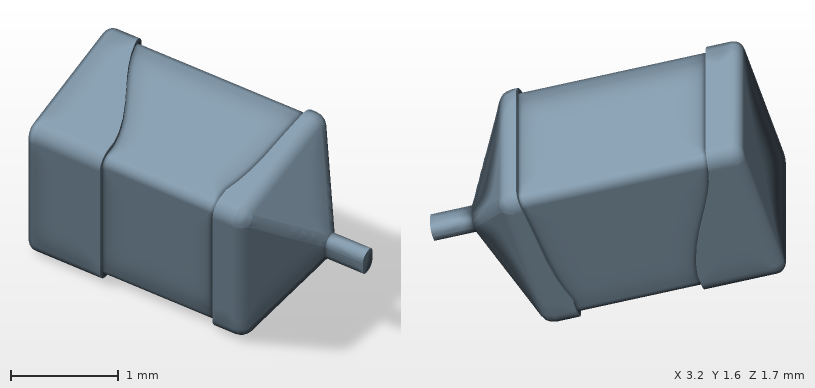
import cadquery as cq
import math

length = 3.2
width = 1.6
height = 1.7

cap_length = 0.8
nose_collar_start = 2.0
nose_end = 2.8

outer_radius = 0.15
end_radius = 0.1
core_step = 0.05
core_radius = outer_radius - core_step

stub_width = 0.175
taper_run = (width - stub_width) / 2
taper_angle = 54.8
nose_start = nose_end - taper_run / math.tan(math.radians(taper_angle))
stub_height = height - 2 * taper_run

cap_wave = [(0.34, width / 2), (0.42, 0.43), (0.55, 0.14), (0.685, -0.138), (cap_length, -0.538)]
nose_wave = [(2.165, width / 2), (2.12, 0.26), (2.085, -0.15), (nose_collar_start, -0.547)]


def rounded_bar(start, end, bar_width, bar_height, radius):
    """Bar along X with its four long edges rounded."""
    return (
        cq.Workplane("YZ", origin=(start, 0, 0))
        .rect(bar_width, bar_height)
        .extrude(end - start)
        .edges("|X")
        .fillet(radius)
    )


def region_before(wave):
    """Block from the cap end up to a wavy joint, running through the full height."""
    joint_x = wave[-1][0]
    return (
        cq.Workplane("XY", origin=(0, 0, -height / 2))
        .moveTo(0, width / 2)
        .lineTo(*wave[0])
        .spline(wave[1:], includeCurrent=True)
        .lineTo(joint_x, -width / 2)
        .lineTo(0, -width / 2)
        .close()
        .extrude(height)
    )


def make_end_cap():
    bar = rounded_bar(0, nose_start, width, height, outer_radius)
    bar = bar.faces("<X").edges().fillet(end_radius)
    return bar.intersect(region_before(cap_wave))


def make_core():
    bar = rounded_bar(0, nose_start, width - 2 * core_step, height - 2 * core_step, core_radius)
    return bar.intersect(region_before(nose_wave)).cut(region_before(cap_wave))


def make_nose():
    collar = cq.Workplane("YZ").rect(width, height).extrude(nose_start)
    taper = (
        cq.Workplane("YZ", origin=(nose_start, 0, 0))
        .rect(width, height)
        .workplane(offset=nose_end - nose_start)
        .rect(stub_width, stub_height)
        .loft(ruled=True)
    )
    rounded = collar.union(taper).edges("not(<X or >X)").fillet(outer_radius)
    stub = rounded.faces(">X").wires().toPending().workplane().extrude(length - nose_end, combine=False)
    return rounded.union(stub).cut(region_before(nose_wave))


end_cap = make_end_cap()
core = make_core()
nose = make_nose()

result = cq.Compound.makeCompound([end_cap.solids().val(), core.solids().val(), nose.solids().val()])